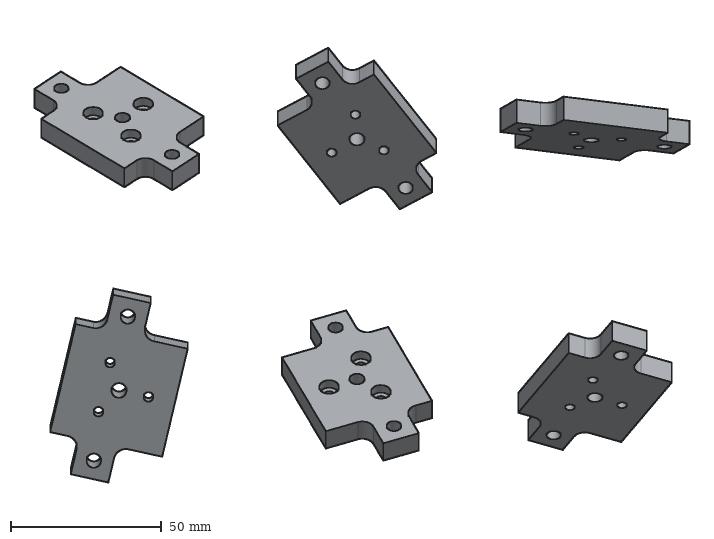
import cadquery as cq

overall_length = 63.25
body_size = 38.1
thickness = 8.0
tab_width = 12.8
tab_center_y = -2.8
corner_radius = 4.0

tab_hole_diameter = 4.8
tab_hole_spacing = 50.7
center_hole_diameter = 5.0
screw_count = 3
screw_circle_radius = 10.0
screw_hole_diameter = 3.2
counterbore_diameter = 6.5
counterbore_depth = 3.5


def make_plate():
    """Body and tab bar, joined with rounded inside corners."""
    body = cq.Workplane("XY").rect(body_size, body_size).extrude(thickness)
    tabs = (
        cq.Workplane("XY")
        .center(0, tab_center_y)
        .rect(overall_length, tab_width)
        .extrude(thickness)
    )
    inside_corners = cq.selectors.BoxSelector(
        (-body_size / 2 - 0.65, tab_center_y - tab_width / 2 - 0.65, -0.65),
        (body_size / 2 + 0.65, tab_center_y + tab_width / 2 + 0.65, thickness + 0.65),
    )
    return body.union(tabs).edges("|Z").edges(inside_corners).fillet(corner_radius)


def drill_center_and_tab_holes(plate):
    hole_spots = [(-tab_hole_spacing / 2, tab_center_y), (tab_hole_spacing / 2, tab_center_y)]
    top = plate.faces(">Z").workplane(origin=(0, 0, thickness))
    plate = top.pushPoints(hole_spots).hole(tab_hole_diameter)
    top = plate.faces(">Z").workplane(origin=(0, 0, thickness))
    return top.hole(center_hole_diameter)


def drill_screw_holes(plate):
    """Counterbored holes spaced evenly around the center hole, the first one toward +Y."""
    top = plate.faces(">Z").workplane(origin=(0, 0, thickness))
    return top.polarArray(screw_circle_radius, 90, 360, screw_count).cboreHole(
        screw_hole_diameter, counterbore_diameter, counterbore_depth
    )


result = drill_screw_holes(drill_center_and_tab_holes(make_plate()))